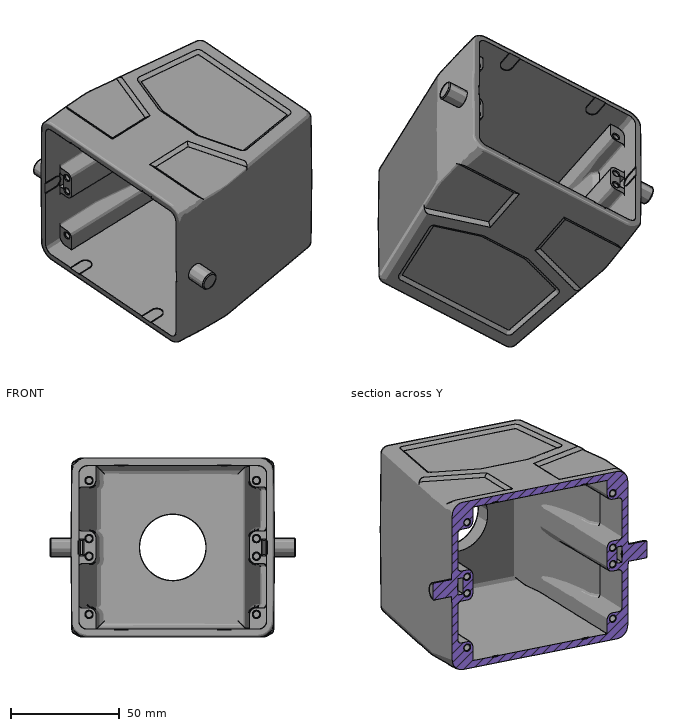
import cadquery as cq
import math

depth = 94.0
half_width = 46.85
half_height = 41.25
side_slope = 8.2
bend_y = 30.0
bend_radius = 20.0
parting_draft = 0.5
edge_radius = 4.0
rim_radius = 1.0
flare_stations = [(27.0, 4.0), (14.8, 5.1), (0.0, 7.4)]

wall = 3.6
floor_y = 85.0
cavity_corner_radius = 4.0
cavity_floor_radius = 4.0
cavity_draft = 0.4
ledge_start_y = 29.1
ledge_size = 2.8
ledge_radius = 3.3
gland_hole_diameter = 30.5

boss_y = 9.0
boss_face_x = 35.4
corner_boss_z = 27.8
middle_boss_z = 7.5
boss_radius = 3.0
boss_draft = 0.6
boss_root_radius = 1.4
screw_x = 38.5
screw_z = [-30.8, -4.05, 4.05, 30.8]
screw_diameter = 3.0
screw_mouth_diameter = 3.8
screw_depth = 12.0
screw_mouth_angle = 45.0
notch_x = 40.75
notch_half_height = 3.9
notch_depth = 5.0
notch_wall_run = 0.7

slot_width = 6.0
slot_length = 9.6
slot_recess = 0.35
slot_x = 23.7

pin_diameter = 8.6
pin_tip_x = 56.6
pin_y = 9.0
pin_chamfer = 0.5

recess_depth = 1.5
recess_wall_run = 1.85
pocket_edge_radius = 1.4
recess_center_x = 12.4
slant = math.tan(math.radians(18.3))
panel_top_y = 86.1
panel_bottom_y = 42.9
panel_top_x = 31.2
panel_side_x = 35.9
panel_corner_radius = 2.4
pocket_bottom_y = 13.0
pocket_inner_y = 37.0

overrun = 10.0

side_tangent = math.tan(math.radians(side_slope))


def plane_facing_back(y):
    """Plane at the given Y that extrudes toward +Y, with local x along -X and local y along Z."""
    return cq.Plane(origin=(0, y, 0), xDir=(-1, 0, 0), normal=(0, 1, 0))


def mirrored(shape, plane):
    return shape.union(shape.mirror(plane))


def outer_body():
    """Solid outer form with the bent sides, rounded edges and a flat front."""
    back_half_width = half_width - (depth - bend_y) * side_tangent
    outline = (
        cq.Sketch()
        .polygon([
            (-half_width, -overrun),
            (half_width, -overrun),
            (half_width, bend_y),
            (back_half_width, depth),
            (-back_half_width, depth),
            (-half_width, bend_y),
            (-half_width, -overrun),
        ])
        .vertices(">Y").fillet(edge_radius)
        .reset()
    )
    half = cq.Workplane("XY").placeSketch(outline).extrude(half_height, taper=parting_draft)
    bend_zone = cq.selectors.BoxSelector(
        (-2 * half_width, bend_y - edge_radius, 0),
        (2 * half_width, bend_y + edge_radius, half_height),
    )
    half = half.edges(bend_zone).fillet(bend_radius)
    half = half.faces(">Z").edges().edges("not <Y").fillet(edge_radius)
    body = mirrored(half, "XY")
    front = cq.Workplane("XY").box(3 * half_width, 2 * overrun, 3 * half_height)
    front = front.translate((0, -overrun, 0))
    return body.cut(front)


def corner_flare():
    """Cutter for one corner whose rounding, tangent to both faces, grows toward the rim."""
    draft = math.radians(parting_draft)
    far_x = half_width + overrun
    far_z = half_height + overrun
    sections = []
    for y, radius in flare_stations:
        center_z = half_height - radius
        center_x = half_width - radius / math.cos(draft) - center_z * math.tan(draft)

        def on_arc(angle):
            return (center_x + radius * math.cos(angle), center_z + radius * math.sin(angle))

        side_point = on_arc(draft)
        top_point = on_arc(math.pi / 2)
        sections.append(
            cq.Workplane("XZ", origin=(0, y, 0))
            .moveTo(*side_point)
            .threePointArc(on_arc((draft + math.pi / 2) / 2), top_point)
            .lineTo(top_point[0], far_z)
            .lineTo(far_x, far_z)
            .lineTo(far_x, side_point[1])
            .close().val()
        )
    return cq.Workplane(cq.Solid.makeLoft(sections))


def cavity_core():
    """Plain cavity volume, without bosses, leaning with the sides and stepped on the +X side."""
    opening_x = half_width - wall
    ledge_x = opening_x - ledge_size
    ledge_y = ledge_start_y + ledge_size
    right_floor_x = ledge_x - (floor_y - ledge_y) * side_tangent
    left_floor_x = -opening_x + (floor_y - bend_y) * side_tangent
    plan = (
        cq.Workplane("XY", origin=(0, 0, -half_height))
        .polyline([
            (-opening_x, 0),
            (opening_x, 0),
            (opening_x, ledge_start_y),
            (ledge_x, ledge_y),
            (right_floor_x, floor_y),
            (left_floor_x, floor_y),
            (-opening_x, bend_y),
        ]).close().extrude(2 * half_height)
        .edges(cq.selectors.NearestToPointSelector((ledge_x, ledge_y, 0))).fillet(ledge_radius)
    )
    section = (
        cq.Workplane(plane_facing_back(0))
        .sketch().rect(2 * opening_x, 2 * (half_height - wall)).vertices().fillet(cavity_corner_radius)
        .finalize().extrude(depth, taper=cavity_draft)
    )
    return plan.intersect(section)


def boss_columns():
    """Six boss columns from the boss ends to beyond the cavity floor, reaching into the walls."""
    center_x = boss_face_x + half_width / 2
    corner_height = half_height
    corner_center_z = corner_boss_z + corner_height / 2
    columns = None
    for height, center_z in (
        (corner_height, corner_center_z),
        (2 * middle_boss_z, 0),
        (corner_height, -corner_center_z),
    ):
        plan = cq.Sketch().rect(half_width, height).vertices().fillet(boss_radius)
        column = (
            cq.Workplane(plane_facing_back(boss_y)).center(-center_x, center_z)
            .placeSketch(plan).extrude(depth - boss_y, taper=-boss_draft)
        )
        columns = columns.union(column) if columns else column
    return mirrored(columns, "YZ")


def soften_boss_roots(cavity):
    """Round the long edges where the boss flanks meet the side walls."""
    def is_root(edge):
        box = edge.BoundingBox()
        runs_along_y = box.ylen > max(box.xlen, box.zlen, notch_depth)
        leans_with_wall = box.xlen > box.ylen * math.tan(math.radians(cavity_draft)) / 2
        reaches_wall = max(abs(box.xmin), abs(box.xmax)) > boss_face_x + boss_radius + boss_root_radius
        return edge.geomType() == "LINE" and runs_along_y and leans_with_wall and reaches_wall

    roots = [edge for edge in cavity.edges().vals() if is_root(edge)]
    return cavity.newObject([cavity.val().fillet(boss_root_radius, roots)])


def notches():
    """Tapering notches in the wall side of the middle bosses, open toward the rim."""
    width = half_width - wall - notch_x
    wall_angle = math.degrees(math.atan2(notch_wall_run, notch_depth))
    notch = (
        cq.Workplane(plane_facing_back(boss_y)).center(-notch_x - width / 2, 0)
        .rect(width, 2 * notch_half_height).extrude(notch_depth, taper=wall_angle)
    )
    return mirrored(notch, "YZ")


def screw_holes():
    points = [(x, z) for x in (-screw_x, screw_x) for z in screw_z]
    mouth_run = (screw_mouth_diameter - screw_diameter) / 2
    mouth_depth = mouth_run / math.tan(math.radians(screw_mouth_angle))
    holes = cq.Workplane(plane_facing_back(boss_y)).pushPoints(points).circle(screw_diameter / 2)
    holes = holes.extrude(screw_depth)
    mouths = cq.Workplane(plane_facing_back(boss_y)).pushPoints(points).circle(screw_mouth_diameter / 2)
    return holes.union(mouths.extrude(mouth_depth, taper=screw_mouth_angle))


def rim_slots():
    """Shallow slots in all four inner walls at the opening."""
    def slot(thickness):
        straight = slot_length - slot_width / 2 + overrun
        return (
            cq.Workplane("XY", origin=(0, -overrun, 0))
            .moveTo(-slot_width / 2, 0)
            .lineTo(-slot_width / 2, straight)
            .threePointArc((0, slot_length + overrun), (slot_width / 2, straight))
            .lineTo(slot_width / 2, 0)
            .close().extrude(thickness)
        )

    height = half_height - wall + slot_recess
    width = half_width - wall + slot_recess
    upper = slot(slot_width).translate((slot_x, 0, height - slot_width))
    upper = mirrored(mirrored(upper, "XY"), "YZ")
    end = slot(2 * slot_recess).rotate((0, 0, 0), (0, 1, 0), 90).translate((width - 2 * slot_recess, 0, 0))
    return upper.union(mirrored(end, "YZ"))


def pins():
    length = pin_tip_x - half_width + wall / 2
    pin = (
        cq.Workplane("YZ", origin=(pin_tip_x - length, pin_y, 0))
        .circle(pin_diameter / 2).extrude(length)
        .faces(">X").chamfer(pin_chamfer)
    )
    return mirrored(pin, "YZ")


def recess(points, corner_selector=None):
    """Recess with sloping walls in the upper face, outlined at the face by (X, Y) points."""
    face = cq.Plane(origin=(0, 0, half_height), xDir=(1, 0, 0), normal=(0, 0, -1))
    outline = cq.Sketch().polygon([(x, -y) for x, y in points + points[:1]])
    if corner_selector:
        outline = outline.vertices(corner_selector).fillet(panel_corner_radius).reset()
    wall_angle = math.degrees(math.atan2(recess_wall_run, recess_depth))
    return cq.Workplane(face).placeSketch(outline).extrude(recess_depth, taper=wall_angle)


def panel_recess():
    side_bottom_y = panel_bottom_y + (panel_side_x - recess_center_x) * slant
    return recess([
        (-recess_center_x, panel_bottom_y),
        (recess_center_x, panel_bottom_y),
        (panel_side_x, side_bottom_y),
        (panel_top_x, panel_top_y),
        (-panel_top_x, panel_top_y),
        (-panel_side_x, side_bottom_y),
    ], "<X or >X or <Y")


def pocket_recesses():
    outer_x = half_width + overrun
    pocket = recess([
        (recess_center_x, pocket_bottom_y),
        (outer_x, pocket_bottom_y),
        (outer_x, pocket_inner_y + (outer_x - recess_center_x) * slant),
        (recess_center_x, pocket_inner_y),
    ])
    return mirrored(pocket, "YZ")


def soften_pocket_edges(body):
    """Round the outer edge of each pocket floor, where it runs out through the rounded corner."""
    floor_z = half_height - recess_depth
    tolerance = 0.01
    reach = edge_radius
    for side in (-1, 1):
        for level in (-1, 1):
            edge_zone = cq.selectors.BoxSelector(
                (side * (half_width - reach), pocket_bottom_y, level * (floor_z - tolerance)),
                (side * (half_width + reach), panel_bottom_y + reach, level * (floor_z + tolerance)),
            )
            body = body.edges(edge_zone).fillet(pocket_edge_radius)
    return body


def hood():
    body = outer_body()
    flares = mirrored(mirrored(corner_flare(), "XY"), "YZ")
    body = body.cut(flares)
    body = body.faces("<Y").edges().fillet(rim_radius)
    for recesses in (panel_recess(), pocket_recesses()):
        body = body.cut(mirrored(recesses, "XY"))
    body = soften_pocket_edges(body)

    cavity = cavity_core().cut(boss_columns())
    cavity = cavity.faces(">Y").edges().fillet(cavity_floor_radius)
    body = body.cut(soften_boss_roots(cavity))

    gland_hole = cq.Workplane(plane_facing_back(0)).circle(gland_hole_diameter / 2).extrude(2 * depth)
    body = body.cut(gland_hole)
    body = body.cut(rim_slots()).cut(notches()).cut(screw_holes())
    return body.union(pins())


result = hood()